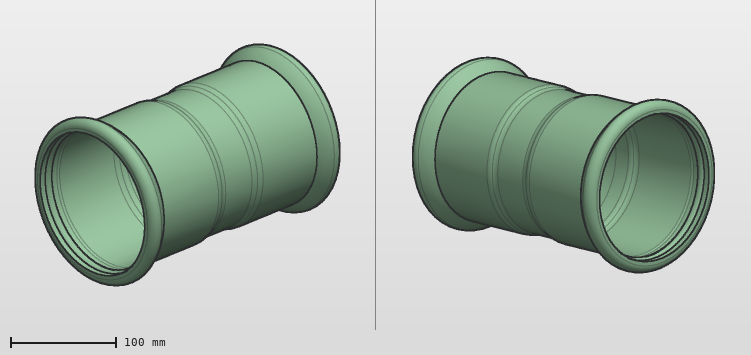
import cadquery as cq
import math

length = 250.0
wall = 2.0
bead_radius = 166.2 / 2
socket_radius = 145.0 / 2
waist_radius = 139.8 / 2
mouth_radius = 142.5 / 2

bead_nose_radius = 8.0
bead_crest_end = 11.5
bead_end = 24.5
step_start = 95.8
step_end = 107.8

seal_end = 21.5
lip_depth = 11.0
lip_height = 2.0
lip_radius = 5.8

half_length = length / 2
step_middle = (step_start + step_end) / 2
nose_center_radius = bead_radius - bead_nose_radius

nose_angle = math.asin((bead_crest_end - bead_nose_radius) / bead_nose_radius)
crest_end_radius = nose_center_radius + bead_nose_radius * math.cos(nose_angle)
flank_length = bead_end - bead_crest_end
flank_drop = crest_end_radius - socket_radius
flank_half_turn = math.atan2(flank_drop, flank_length) - nose_angle
flank_radius = math.hypot(flank_length, flank_drop) / (2 * math.sin(flank_half_turn))
flank_center_depth = bead_crest_end - flank_radius * math.sin(nose_angle)
flank_center_radius = crest_end_radius - flank_radius * math.cos(nose_angle)


def point(radius, depth):
    """Profile point at a radius and a distance from the end face at -Y."""
    return (radius, depth - half_length)


def nose_point(angle):
    """Point on the bead nose; angle is measured from the crest toward the middle."""
    radius = nose_center_radius + bead_nose_radius * math.cos(angle)
    return point(radius, bead_nose_radius * (1 + math.sin(angle)))


def flank_point(angle):
    """Point on the bead flank arc, with the same angle convention as the nose."""
    radius = flank_center_radius + flank_radius * math.cos(angle)
    return point(radius, flank_center_depth + flank_radius * math.sin(angle))


def revolve_half(end_profile, inset):
    """Continue a profile from the socket to mid-length, inset from the outside, and revolve it."""
    socket = socket_radius - inset
    waist = waist_radius - inset
    profile = (
        end_profile
        .lineTo(*point(socket, step_start))
        .tangentArcPoint(point((socket + waist) / 2, step_middle), relative=False)
        .tangentArcPoint(point(waist, step_end), relative=False)
        .lineTo(*point(waist, half_length))
        .lineTo(*point(0, half_length))
        .close()
    )
    return profile.revolve(360, (0, 0, 0), (0, 1, 0))


def outer_half():
    """Solid outer form from the -Y end to mid-length, with the rounded bead."""
    flank_end_angle = nose_angle + 2 * flank_half_turn
    end_profile = (
        cq.Workplane("XY")
        .moveTo(*point(0, 0))
        .lineTo(*point(nose_center_radius, 0))
        .threePointArc(nose_point((nose_angle - math.pi / 2) / 2), nose_point(nose_angle))
        .threePointArc(flank_point(nose_angle + flank_half_turn), flank_point(flank_end_angle))
    )
    return revolve_half(end_profile, 0)


def bore_half():
    """Inside space of one half: seal bore with its lip, short cone, socket and waist bore."""
    lip_half_width = math.sqrt(lip_radius ** 2 - (lip_radius - lip_height) ** 2)
    end_profile = (
        cq.Workplane("XY")
        .moveTo(*point(0, 0))
        .lineTo(*point(mouth_radius, 0))
        .lineTo(*point(mouth_radius, lip_depth - lip_half_width))
        .threePointArc(
            point(mouth_radius - lip_height, lip_depth),
            point(mouth_radius, lip_depth + lip_half_width),
        )
        .lineTo(*point(mouth_radius, seal_end))
        .lineTo(*point(socket_radius - wall, bead_end))
    )
    return revolve_half(end_profile, wall)


half_body = outer_half().cut(bore_half())
result = half_body.union(half_body.mirror("XZ")).clean()